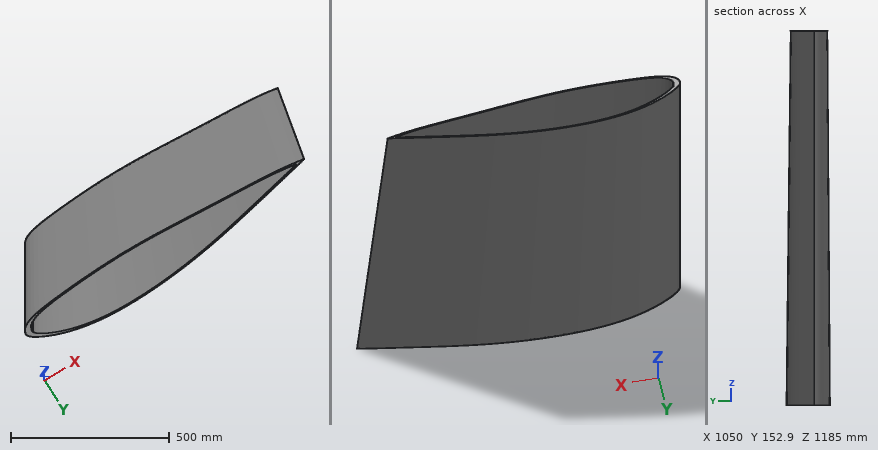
import cadquery as cq
import math

span = 1185.0
root_chord = 1050.0
tip_chord = 950.0

upper_weights = (0.15, 0.32, 0.16, 0.33, 0.18, 0.22)
lower_weights = (-0.19, -0.06, -0.22, -0.10, -0.08, -0.21)
panels_per_side = 40
panel_shift = 0.01

cavity_scale = 0.95
cavity_center_x = 0.43
cavity_center_y = 0.018


def side_height(x, weights):
    """Height of one side above the chord line at the chord fraction x."""
    degree = len(weights) - 1
    bernstein = sum(
        weight * math.comb(degree, i) * x**i * (1 - x) ** (degree - i)
        for i, weight in enumerate(weights)
    )
    return math.sqrt(x) * (1 - x) * bernstein


def joint_position(i):
    """Chord fraction of panel joint i, with panels shorter near the nose and the tail."""
    angle = math.pi * i / panels_per_side
    cosine_spacing = (1 - math.cos(angle)) / 2
    return cosine_spacing - panel_shift * math.sin(angle) ** 4


def section_points():
    """Outline of unit chord, from the tail over the upper side to the nose and back below."""
    joints = [joint_position(i) for i in range(panels_per_side)]
    tail = [(1.0, 0.0)]
    upper = [(x, side_height(x, upper_weights)) for x in reversed(joints)]
    lower = [(x, side_height(x, lower_weights)) for x in joints[1:]]
    return tail + upper + lower


def wing_body(scale):
    """Solid between the root and tip sections, each shrunk by scale about the cavity center."""
    outline = [
        (
            cavity_center_x + scale * (x - cavity_center_x),
            cavity_center_y + scale * (y - cavity_center_y),
        )
        for x, y in section_points()
    ]
    root = [(root_chord * x, root_chord * y) for x, y in outline]
    tip = [(tip_chord * x, tip_chord * y) for x, y in outline]
    return (
        cq.Workplane("XY")
        .polyline(root)
        .close()
        .workplane(offset=span)
        .polyline(tip)
        .close()
        .loft(ruled=True)
    )


outer_body = wing_body(scale=1)
cavity = wing_body(scale=cavity_scale)
result = outer_body.cut(cavity)